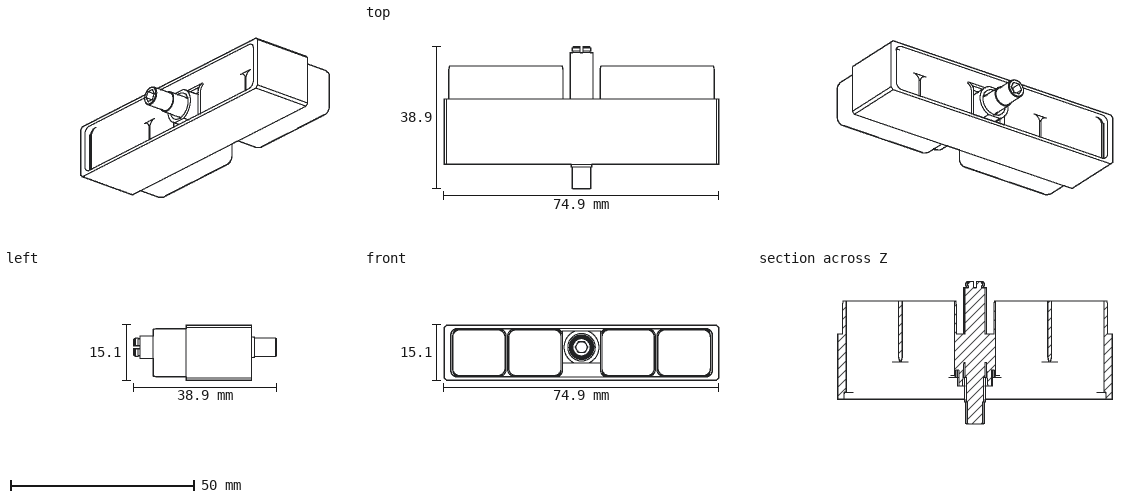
import cadquery as cq

BODY_LENGTH = 74.93
BODY_DEPTH = 17.85
BODY_HEIGHT = 15.11
BODY_CHAMFER = 0.7

CAVITY_HALF_LENGTH = 35.7
CAVITY_HALF_HEIGHT = 6.65
CAVITY_TAPER_START = 1.6
CAVITY_TAPER_INSET = 0.1
CAVITY_DEPTH = 1.9
COMPARTMENT_OUTER_X = 35.1
WEB_HALF_WIDTH = 5.2
WEB_FLARE = 0.4
WEB_FLARE_LENGTH = 0.5
CORNER_RADIUS = 1.9

TAPER_INSET = 0.22
FIRST_TAPER_START = 7.9
FIRST_TAPER_END = 9.6
DIVIDER_FRONT = 10.15
SECOND_TAPER_END = 11.6
DIVIDER_FRONT_WIDTH = 0.4
DIVIDER_WIDTH = 1.1

SHELL_INNER_X = 5.05
SHELL_OUTER_X = 36.2
SHELL_HEIGHT = 13.2
SHELL_BACK = 26.85
SHELL_TAPER_LENGTH = 0.94
SHELL_TAPER_INSET = 0.2

WEB_FRONT = 6.0
RECESS_FRONT = 8.0
RECESS_BOTTOM = -2.84
RECESS_TOP = 5.9

TUBE_DIAMETER = 9.5
TUBE_BORE_FRONT = 7.5
TUBE_BORE_BACK = 6.7
TUBE_FRONT = 3.6
TUBE_BORE_END = 10.0

SCREW_Z = 1.5
SCREW_FRONT = -6.73
SCREW_BACK = 32.17
SHAFT_DIAMETER = 5.1
SHAFT_CHAMFER = 0.2
COLLAR_DIAMETER = 5.7
COLLAR_FRONT = -0.75
POST_DIAMETER = 6.26
POST_FRONT = 6.0
POST_BACK = 30.5
HEX_ACROSS_FLATS = 3.0
HEX_ACROSS_CORNERS = HEX_ACROSS_FLATS / 0.75 ** 0.5
HEX_DEPTH = 3.0
HEX_CONE_DEPTH = 0.8

TIP_DIAMETER = 4.75
TIP_CHAMFER = 0.25
TIP_SLOT = 0.8
SNAP_RING_DIAMETER = 5.2
SNAP_RING_FRONT = 30.95
SNAP_RING_BACK = 31.67


def plane_at(y, x=0, z=0):
    """Workplane facing +Y; its local X is the part's X, its local Y is the part's -Z."""
    return cq.Workplane(cq.Plane(origin=(x, y, z), xDir=(1, 0, 0), normal=(0, 1, 0)))


def rounded_outline(x_min, x_max, height, radius):
    """Rectangle centred on Z = 0, with rounded corners if a radius is given."""
    outline = cq.Sketch().push([((x_min + x_max) / 2, 0)]).rect(x_max - x_min, height).reset()
    if radius:
        outline = outline.vertices().fillet(radius)
    return outline


def block(x_min, x_max, height, y_start, y_end, radius=0):
    """Straight block along Y."""
    outline = rounded_outline(x_min, x_max, height, radius)
    return plane_at(y_start).placeSketch(outline).extrude(y_end - y_start)


def tapered_block(x_min, x_max, height, y_start, y_end, inset_min, inset_max, inset_z):
    """Block along Y with rounded corners whose far end is inset by the given amounts."""
    start = rounded_outline(x_min, x_max, height, CORNER_RADIUS)
    end = rounded_outline(x_min + inset_min, x_max - inset_max, height - 2 * inset_z, CORNER_RADIUS)
    end_offset = cq.Location(cq.Vector(0, 0, y_end - y_start))
    return plane_at(y_start).placeSketch(start, end.moved(end_offset)).loft()


def screw_cylinder(diameter, y_start, y_end):
    """Cylinder on the screw axis."""
    return plane_at(y_start, 0, SCREW_Z).circle(diameter / 2).extrude(y_end - y_start)


def screw_cone(front_diameter, back_diameter, y_start, y_end):
    """Cone or tapered plug on the screw axis."""
    base = cq.Vector(0, y_start, SCREW_Z)
    cone = cq.Solid.makeCone(front_diameter / 2, back_diameter / 2, y_end - y_start, base, cq.Vector(0, 1, 0))
    return cq.Workplane(cone)


def both_sides(solid):
    """The solid together with its mirror image in X."""
    return solid.union(solid.mirror("YZ"))


def make_housing():
    half_length = BODY_LENGTH / 2
    body = block(-half_length, half_length, BODY_HEIGHT, 0, BODY_DEPTH)
    body = body.edges("|Y").chamfer(BODY_CHAMFER)
    taper_start = SHELL_BACK - SHELL_TAPER_LENGTH
    shell = block(SHELL_INNER_X, SHELL_OUTER_X, SHELL_HEIGHT, BODY_DEPTH, taper_start, CORNER_RADIUS)
    inset = SHELL_TAPER_INSET
    shell_end = tapered_block(
        SHELL_INNER_X, SHELL_OUTER_X, SHELL_HEIGHT, taper_start, SHELL_BACK, inset, inset, inset
    )
    return body.union(both_sides(shell.union(shell_end)))


def make_pocket(x_min, x_max, height, inset_min, inset_max):
    """One pocket: a tapered mouth followed by a straight run out through the back."""
    mouth = tapered_block(
        x_min, x_max, height, DIVIDER_FRONT, SECOND_TAPER_END, inset_min, inset_max, TAPER_INSET
    )
    x_min += inset_min
    x_max -= inset_max
    run_height = height - 2 * TAPER_INSET
    return mouth.union(block(x_min, x_max, run_height, SECOND_TAPER_END, SHELL_BACK, CORNER_RADIUS))


def make_cavity():
    """Front cavity and the narrower passage behind it, up to the web."""
    half_length = CAVITY_HALF_LENGTH
    height = 2 * CAVITY_HALF_HEIGHT
    outer_x = COMPARTMENT_OUTER_X
    inset = CAVITY_TAPER_INSET
    opening = block(-half_length, half_length, height, 0, CAVITY_TAPER_START, CORNER_RADIUS)
    taper = tapered_block(
        -half_length, half_length, height, CAVITY_TAPER_START, CAVITY_DEPTH, inset, inset, 0
    )
    passage = block(-outer_x, outer_x, height, CAVITY_DEPTH, WEB_FRONT, CORNER_RADIUS)
    return opening.union(taper).union(passage)


def make_compartment():
    """The +X compartment, branching into its two pockets."""
    outer_x = COMPARTMENT_OUTER_X
    inner_x = WEB_HALF_WIDTH + WEB_FLARE
    height = 2 * CAVITY_HALF_HEIGHT
    flare_end = WEB_FRONT + WEB_FLARE_LENGTH
    flare = tapered_block(WEB_HALF_WIDTH, outer_x, height, WEB_FRONT, flare_end, WEB_FLARE, 0, 0)
    straight = block(inner_x, outer_x, height, flare_end, FIRST_TAPER_START, CORNER_RADIUS)
    taper = tapered_block(inner_x, outer_x, height, FIRST_TAPER_START, FIRST_TAPER_END, 0, 0, TAPER_INSET)

    landing_height = height - 2 * TAPER_INSET
    landing = block(inner_x, outer_x, landing_height, FIRST_TAPER_END, DIVIDER_FRONT, CORNER_RADIUS)
    divider_x = (inner_x + outer_x) / 2
    divider_inset = (DIVIDER_WIDTH - DIVIDER_FRONT_WIDTH) / 2
    inner_edge = divider_x - DIVIDER_FRONT_WIDTH / 2
    outer_edge = divider_x + DIVIDER_FRONT_WIDTH / 2
    inner_pocket = make_pocket(inner_x, inner_edge, landing_height, 0, divider_inset)
    outer_pocket = make_pocket(outer_edge, outer_x, landing_height, divider_inset, 0)
    return flare.union(straight).union(taper).union(landing).union(inner_pocket).union(outer_pocket)


def recess_box(y_start, y_end):
    """Box the width of the web, spanning the height of its recess."""
    return cq.Workplane("XY").box(
        2 * WEB_HALF_WIDTH, y_end - y_start, RECESS_TOP - RECESS_BOTTOM, centered=(True, False, False)
    ).translate((0, y_start, RECESS_BOTTOM))


def make_tube():
    tube = screw_cylinder(TUBE_DIAMETER, TUBE_FRONT, RECESS_FRONT)
    return tube.intersect(recess_box(TUBE_FRONT, RECESS_FRONT))


def make_screw():
    shaft = screw_cylinder(SHAFT_DIAMETER, SCREW_FRONT, COLLAR_FRONT).faces("<Y").chamfer(SHAFT_CHAMFER)
    collar = screw_cylinder(COLLAR_DIAMETER, COLLAR_FRONT, POST_FRONT)
    post = screw_cylinder(POST_DIAMETER, POST_FRONT, POST_BACK)
    screw = shaft.union(collar).union(post)

    socket = plane_at(SCREW_FRONT, 0, SCREW_Z).polygon(6, HEX_ACROSS_CORNERS).extrude(HEX_DEPTH)
    socket_end = SCREW_FRONT + HEX_DEPTH
    socket_tip = screw_cone(HEX_ACROSS_FLATS, 0, socket_end, socket_end + HEX_CONE_DEPTH)
    return screw.cut(socket).cut(socket_tip)


def make_snap_tip():
    tip = screw_cylinder(TIP_DIAMETER, POST_BACK, SCREW_BACK).faces(">Y").chamfer(TIP_CHAMFER)
    tip = tip.union(screw_cylinder(SNAP_RING_DIAMETER, SNAP_RING_FRONT, SNAP_RING_BACK))
    tip_length = SCREW_BACK - POST_BACK
    for width, height in ((TIP_SLOT, SNAP_RING_DIAMETER), (SNAP_RING_DIAMETER, TIP_SLOT)):
        slot = plane_at(POST_BACK, 0, SCREW_Z).rect(width, height).extrude(tip_length)
        tip = tip.cut(slot)
    return tip


result = make_housing().cut(make_cavity()).cut(both_sides(make_compartment()))
result = result.cut(recess_box(WEB_FRONT, RECESS_FRONT)).union(make_tube())
result = result.cut(screw_cone(TUBE_BORE_FRONT, TUBE_BORE_BACK, TUBE_FRONT, TUBE_BORE_END))
result = result.union(make_screw()).union(make_snap_tip())